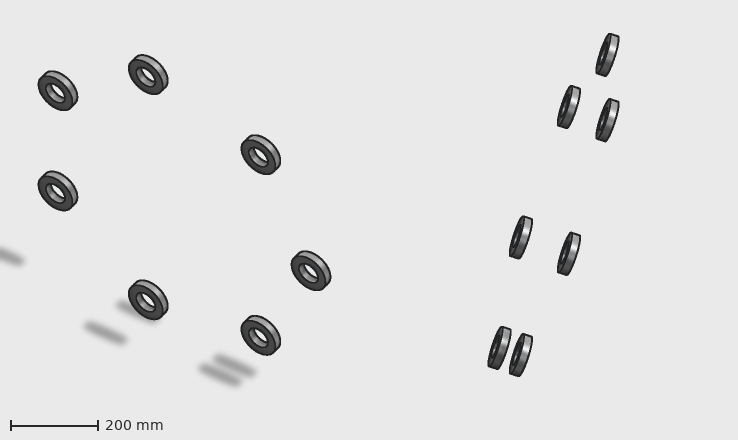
import cadquery as cq
import math

overall_height = 829.0
ring_count = 7
ring_outer_diameter = 96.0
ring_bore_diameter = 54.0
ring_thickness = 20.0

pitch_angle = 360 / ring_count
highest_sine = max(math.sin(math.radians(i * pitch_angle)) for i in range(ring_count))
pitch_radius = (overall_height - ring_outer_diameter) / (2 * highest_sine)


def make_ring(angle):
    """Flat ring with its axis along Y, turned about the Y axis to its place on the circle."""
    return (
        cq.Workplane("XZ", origin=(0, ring_thickness / 2, 0))
        .center(pitch_radius, 0)
        .circle(ring_outer_diameter / 2)
        .circle(ring_bore_diameter / 2)
        .extrude(ring_thickness)
        .rotate((0, 0, 0), (0, -1, 0), angle)
    )


rings = [make_ring(i * pitch_angle).val() for i in range(ring_count)]

result = cq.Compound.makeCompound(rings)